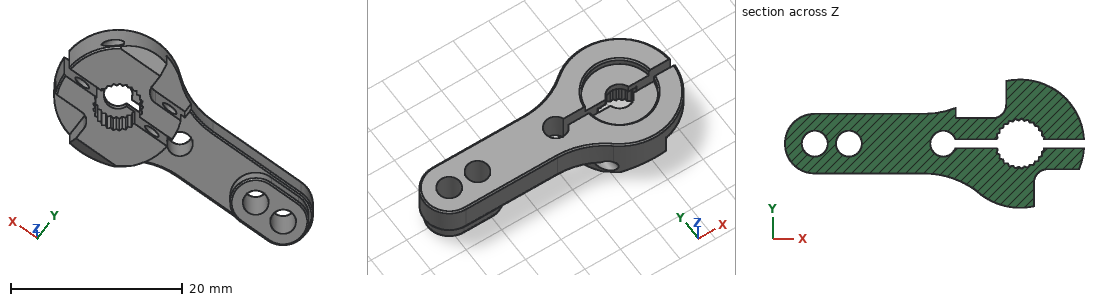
import cadquery as cq
import math

length = 34.98
thickness = 6.0
plate_thickness = 4.0
boss_height = thickness - plate_thickness
edge_chamfer = 0.2

head_radius = 15.0 / 2
arm_radius = 3.5
neck_radius = 10.0
rim_end = 0.9
tip_x = arm_radius
head_x = length - head_radius

hole_diameter = 3.0
hole_spacing = 4.0
relief_hole_x = 18.5
pad_radius = 3.0

bore_diameter = 3.35
recess_diameter = 9.0
recess_depth = 1.0
recess_chamfer = 0.2
socket_depth = 4.0
spline_teeth = 25
spline_root_radius = 2.95
spline_tip_radius = 2.7
slit_width = 1.0

screw_diameter = 2.0
screw_z = 1.5
near_screw_x = 22.2
far_screw_x = 32.32
pocket_wall_offset = 1.65
pocket_length = 5.85
pocket_floor_y = 3.0
pocket_height = 4.0
pocket_corner_radius = 1.5
side_bevel = 1.47

neck_y = arm_radius + neck_radius
neck_to_head = head_radius + neck_radius
neck_x = head_x - math.sqrt(neck_to_head**2 - neck_y**2)
neck_angle = math.acos(neck_y / neck_to_head)


def neck_point(share, side):
    """Point on a neck arc: share 0 is on the arm side, share 1 on the head; side is +1 or -1."""
    angle = share * neck_angle
    return (
        neck_x + neck_radius * math.sin(angle),
        side * (neck_y - neck_radius * math.cos(angle)),
    )


def full_block():
    """Whole arm outline at full thickness, with both rims chamfered."""
    return (
        cq.Workplane("XY")
        .moveTo(tip_x, arm_radius)
        .lineTo(*neck_point(0, 1))
        .threePointArc(neck_point(0.5, 1), neck_point(1, 1))
        .threePointArc((length, 0), neck_point(1, -1))
        .threePointArc(neck_point(0.5, -1), neck_point(0, -1))
        .lineTo(tip_x, -arm_radius)
        .threePointArc((0, 0), (tip_x, arm_radius))
        .close()
        .extrude(thickness)
        .faces("<Z or >Z")
        .chamfer(edge_chamfer)
    )


def underside_cut():
    """Space below the arm, ending at the round wall of the head."""
    join_x, join_y = neck_point(1, 1)
    return (
        cq.Workplane("XY")
        .moveTo(join_x, join_y)
        .threePointArc((head_x - head_radius, 0), (join_x, -join_y))
        .lineTo(join_x, -head_radius)
        .lineTo(0, -head_radius)
        .lineTo(0, head_radius)
        .lineTo(join_x, head_radius)
        .close()
        .extrude(boss_height)
    )


def underside_chamfer_cut():
    """Wedge along the lower rim of the arm on the -Y side, from the tip to the head."""
    diagonal = arm_radius * math.sqrt(0.5)
    rim = (
        cq.Workplane("XY")
        .workplane(offset=boss_height)
        .moveTo(0, 0)
        .threePointArc((tip_x - diagonal, -diagonal), (tip_x, -arm_radius))
        .lineTo(*neck_point(0, -1))
        .threePointArc(neck_point(rim_end / 2, -1), neck_point(rim_end, -1))
    )
    wedge = (
        cq.Workplane("XZ")
        .moveTo(0, boss_height)
        .line(edge_chamfer, 0)
        .line(-edge_chamfer, edge_chamfer)
        .close()
        .sweep(rim)
    )
    return wedge.cut(vertical_cylinder(head_x, head_radius, 0, thickness))


def vertical_cylinder(x, radius, bottom, height):
    return cq.Workplane("XY").workplane(offset=bottom).center(x, 0).circle(radius).extrude(height)


def make_body():
    chamfer_cut = underside_chamfer_cut()
    block = full_block().cut(underside_cut())
    block = block.cut(chamfer_cut).cut(chamfer_cut.mirror("XZ"))
    pad = (
        cq.Workplane("XY")
        .center(tip_x + hole_spacing / 2, 0)
        .slot2D(hole_spacing + 2 * pad_radius, 2 * pad_radius)
        .extrude(boss_height)
        .faces("<Z")
        .chamfer(edge_chamfer)
    )
    return block.union(pad)


def side_bevel_cut(side):
    """Sloped cut under one side of the head; side is +1 or -1 along Y."""
    outer_y = side * head_radius
    inner_y = side * (head_radius - side_bevel)
    return (
        cq.Workplane("YZ")
        .workplane(offset=head_x - head_radius)
        .polyline([(outer_y, 0), (inner_y, 0), (outer_y, side_bevel)])
        .close()
        .extrude(2 * head_radius)
    )


def screw_pocket():
    """Pocket at the -Y, +X corner of the head, with a rounded inner corner."""
    wall_x = head_x + pocket_wall_offset
    depth = head_radius - pocket_floor_y
    return (
        cq.Workplane("XY")
        .box(pocket_length, depth, pocket_height, centered=False)
        .edges("|Z and <X and >Y")
        .fillet(pocket_corner_radius)
        .translate((wall_x, -head_radius, 0))
    )


def spline_socket():
    """Toothed socket opening at the bottom of the head."""
    half_pitch = math.pi / spline_teeth
    points = []
    for step in range(2 * spline_teeth):
        radius = spline_tip_radius if step % 2 else spline_root_radius
        angle = step * half_pitch
        points.append((radius * math.cos(angle), radius * math.sin(angle)))
    return cq.Workplane("XY").center(head_x, 0).polyline(points).close().extrude(socket_depth)


def screw_recess():
    """Round recess in the top of the head with a chamfered rim."""
    radius = recess_diameter / 2
    recess = vertical_cylinder(head_x, radius, thickness - recess_depth, recess_depth)
    rim = (
        cq.Workplane("XY")
        .workplane(offset=thickness)
        .center(head_x, 0)
        .circle(radius + recess_chamfer)
        .extrude(-recess_chamfer, taper=45)
    )
    return recess.union(rim)


def clamp_slit():
    return cq.Workplane("XY").box(
        length - relief_hole_x, slit_width, thickness, centered=(False, True, False)
    ).translate((relief_hole_x, 0, 0))


result = make_body()

for side in (1, -1):
    result = result.cut(side_bevel_cut(side))

pocket = screw_pocket()
result = result.cut(pocket)
result = result.cut(pocket.rotate((head_x, 0, 0), (head_x, 0, 1), 180))

for x in (near_screw_x, far_screw_x):
    screw_hole = (
        cq.Workplane("XZ").center(x, screw_z).circle(screw_diameter / 2).extrude(head_radius, both=True)
    )
    result = result.cut(screw_hole)

for x in (tip_x, tip_x + hole_spacing, relief_hole_x):
    result = result.cut(vertical_cylinder(x, hole_diameter / 2, 0, thickness))

result = result.cut(vertical_cylinder(head_x, bore_diameter / 2, 0, thickness))
result = result.cut(spline_socket())
result = result.cut(screw_recess())
result = result.cut(clamp_slit())